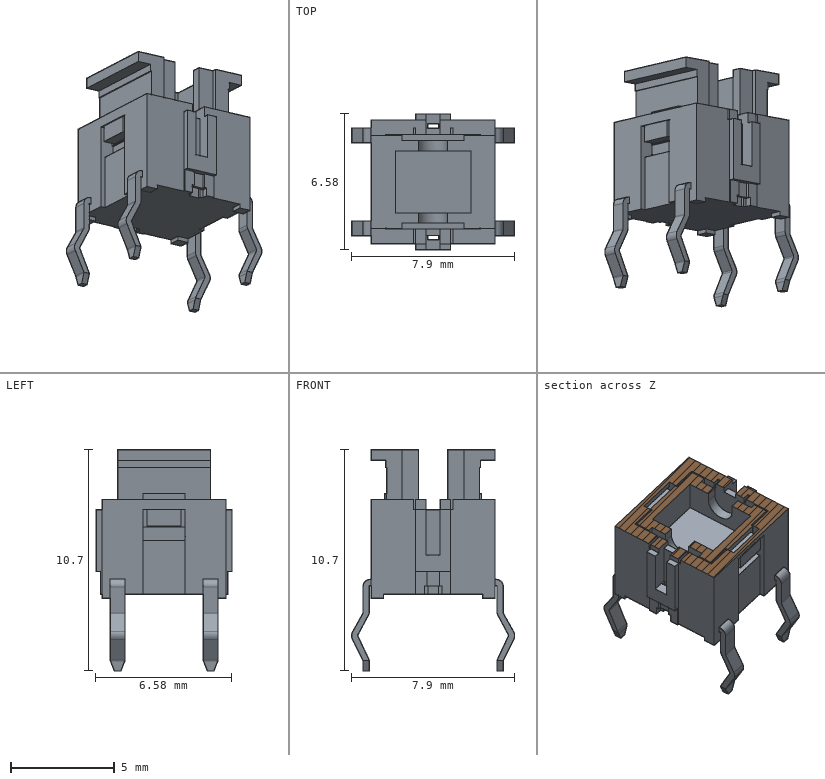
import cadquery as cq


HOUSING_WIDTH = 6.0
HOUSING_HALF = HOUSING_WIDTH / 2
HOUSING_BOTTOM = 0.2
HOUSING_TOP = 4.8
FOOT_SIZE = 0.6
CAVITY_LENGTH = 4.6
CAVITY_WIDTH = 4.56
CAVITY_FLOOR = 3.0

LEDGE_Z = 4.3
BRACKET_WIDTH = 1.7
BRACKET_BOTTOM = 1.3
BRACKET_REACH = 3.29
LOWER_BRACKET_REACH = 3.08
SLOT_WIDTH = 0.68
SLOT_FLOOR = 2.1
SLOT_INNER_Y = 2.6
EYE_LENGTH = 0.52
EYE_WIDTH = 0.2
GROOVE_WIDTH = 0.6
GROOVE_DEPTH = 0.14
NOTCH_WIDTH = 0.84
NOTCH_TOP = 0.6
NOTCH_INNER_Y = 2.75
GAP_WIDTH = 0.1
GAP_OUTER_Y_FRONT = HOUSING_HALF
GAP_OUTER_Y_BACK = SLOT_INNER_Y

WINDOW_WIDTH = 2.04
WINDOW_PLATE_TOP = 2.8
WINDOW_PLATE_X = 2.75
LATCH_SLOT_X = 2.7

PLUNGER_TOP = 7.2
PLUNGER_WIDTH = 4.5
SHANK_LENGTH = 4.5
COLLAR_LENGTH = 4.6
COLLAR_BOTTOM = 6.33
FLANGE_LENGTH = HOUSING_WIDTH
FLANGE_BOTTOM = 6.68
POCKET_LENGTH = 3.64
POCKET_WIDTH = 3.0
FORK_GAP = 1.4
FORK_RADIUS = FORK_GAP / 2
FORK_ARC_CENTRE_Z = 4.1
ARM_STEP_LENGTH = 3.0
ARM_OUTER_Y = 2.0

LATCH_ARM_X = 2.35
LATCH_ARM_BOTTOM = 3.46
LATCH_ARM_TOP = 5.07
HOOK_X = 2.95
HOOK_WIDTH = 1.64
HOOK_BOTTOM = 3.5

LEAD_Y = 2.25
LEAD_WIDTH = 0.72
LEAD_THICKNESS = 0.32
LEAD_OUTER_X = 3.4
LEAD_INNER_X = LEAD_OUTER_X - LEAD_THICKNESS
LEAD_TOP = 0.93
LEAD_ROOT_X = 2.8
LEAD_SHOULDER_RADIUS = 0.37
LEAD_KINK_TOP = -0.72
LEAD_APEX_Z = -1.79
LEAD_APEX_INNER_X = 3.65
LEAD_APEX_OUTER_X = 4.0
BEND_INNER_RADIUS = 0.08
BEND_OUTER_RADIUS = BEND_INNER_RADIUS + LEAD_THICKNESS
LEAD_KINK_BOTTOM = -3.0
LEAD_TIP = -3.51
LEAD_TIP_WIDTH = 0.32


def block(x_range, y_range, z_range):
    """Axis-aligned box between the given limits."""
    (x0, x1), (y0, y1), (z0, z1) = x_range, y_range, z_range
    return cq.Workplane("XY").box(x1 - x0, y1 - y0, z1 - z0, centered=False).translate((x0, y0, z0))


def centred(length, width, z0, z1):
    """Box centred on the Z axis."""
    return block((-length / 2, length / 2), (-width / 2, width / 2), (z0, z1))


def both_ends(shape, plane):
    """The shape together with its mirror image."""
    return shape.union(shape.mirror(plane))


def span(width):
    """Limits of a width centred on zero."""
    return (-width / 2, width / 2)


def make_housing():
    housing = centred(HOUSING_WIDTH, HOUSING_WIDTH, HOUSING_BOTTOM, HOUSING_TOP)
    foot_span = (HOUSING_HALF - FOOT_SIZE, HOUSING_HALF)
    foot = block(foot_span, foot_span, (0, HOUSING_BOTTOM))
    feet = both_ends(both_ends(foot, "YZ"), "XZ")
    cavity = centred(CAVITY_LENGTH, CAVITY_WIDTH, CAVITY_FLOOR, HOUSING_TOP)
    return housing.union(feet).cut(cavity)


def window_cuts():
    """Shallow recess, through window above it, and a slot behind the top of the +X wall."""
    side = span(WINDOW_WIDTH)
    recess = block((WINDOW_PLATE_X, HOUSING_HALF), side, (HOUSING_BOTTOM, LEDGE_Z))
    opening = block((SHANK_LENGTH / 2, HOUSING_HALF), side, (WINDOW_PLATE_TOP, LEDGE_Z))
    top_slot = block((SHANK_LENGTH / 2, LATCH_SLOT_X), side, (LEDGE_Z, HOUSING_TOP))
    return both_ends(recess.union(opening).union(top_slot), "YZ")


def bracket():
    """Clip plates standing out of the +Y wall."""
    inside = CAVITY_WIDTH / 2
    upper = block(span(BRACKET_WIDTH), (inside, BRACKET_REACH), (BRACKET_BOTTOM, LEDGE_Z))
    lower = block(span(BRACKET_WIDTH), (inside, LOWER_BRACKET_REACH), (HOUSING_BOTTOM, BRACKET_BOTTOM))
    return upper.union(lower)


def bracket_cuts():
    """Clip slot, drop-through eye and foot notch of the +Y bracket."""
    inside = CAVITY_WIDTH / 2
    saddle = block(span(SLOT_WIDTH), (inside, HOUSING_HALF), (LEDGE_Z, HOUSING_TOP))
    slot = block(span(SLOT_WIDTH), (SLOT_INNER_Y, BRACKET_REACH), (SLOT_FLOOR, HOUSING_TOP))
    eye = block(span(EYE_LENGTH), (SLOT_INNER_Y, SLOT_INNER_Y + EYE_WIDTH), (HOUSING_BOTTOM, SLOT_FLOOR))
    groove_span = (LOWER_BRACKET_REACH - GROOVE_DEPTH, LOWER_BRACKET_REACH)
    groove = block(span(GROOVE_WIDTH), groove_span, (NOTCH_TOP, BRACKET_BOTTOM))
    notch = block(span(NOTCH_WIDTH), (NOTCH_INNER_Y, LOWER_BRACKET_REACH), (HOUSING_BOTTOM, NOTCH_TOP))
    return saddle.union(slot).union(eye).union(groove).union(notch)


def gap_cuts():
    """Narrow slits beside the bracket posts, open to the outside only on the -Y wall."""
    inside = CAVITY_WIDTH / 2
    x_range = (BRACKET_WIDTH / 2, BRACKET_WIDTH / 2 + GAP_WIDTH)
    z_range = (LEDGE_Z, HOUSING_TOP)
    front = block(x_range, (-GAP_OUTER_Y_FRONT, -inside), z_range)
    back = block(x_range, (inside, GAP_OUTER_Y_BACK), z_range)
    return both_ends(front.union(back), "YZ")


def make_plunger():
    plunger = centred(SHANK_LENGTH, PLUNGER_WIDTH, CAVITY_FLOOR, PLUNGER_TOP)
    plunger = plunger.union(centred(COLLAR_LENGTH, PLUNGER_WIDTH, COLLAR_BOTTOM, PLUNGER_TOP))
    plunger = plunger.union(centred(FLANGE_LENGTH, PLUNGER_WIDTH, FLANGE_BOTTOM, PLUNGER_TOP))
    plunger = plunger.cut(centred(POCKET_LENGTH, POCKET_WIDTH, CAVITY_FLOOR, PLUNGER_TOP))

    step = block(span(ARM_STEP_LENGTH), (ARM_OUTER_Y, PLUNGER_WIDTH / 2), (CAVITY_FLOOR, PLUNGER_TOP))
    plunger = plunger.cut(both_ends(step, "XZ"))

    fork = centred(FORK_GAP, PLUNGER_WIDTH, FORK_ARC_CENTRE_Z, PLUNGER_TOP)
    fork_round = (
        cq.Workplane("XZ")
        .center(0, FORK_ARC_CENTRE_Z)
        .circle(FORK_RADIUS)
        .extrude(PLUNGER_WIDTH / 2, both=True)
    )
    return plunger.cut(fork).cut(fork_round)


def make_latches():
    inside = POCKET_LENGTH / 2
    arm = block((inside, LATCH_ARM_X), span(WINDOW_WIDTH), (LATCH_ARM_BOTTOM, LATCH_ARM_TOP))
    hook = block((inside, HOOK_X), span(HOOK_WIDTH), (HOOK_BOTTOM, LEDGE_Z))
    return both_ends(arm.union(hook), "YZ")


def make_leads():
    root_bottom = LEAD_TOP - LEAD_THICKNESS
    outline = [
        (LEAD_ROOT_X, LEAD_TOP),
        (LEAD_OUTER_X, LEAD_TOP),
        (LEAD_OUTER_X, LEAD_KINK_TOP),
        (LEAD_APEX_OUTER_X, LEAD_APEX_Z),
        (LEAD_OUTER_X, LEAD_KINK_BOTTOM),
        (LEAD_OUTER_X, LEAD_TIP),
        (LEAD_INNER_X, LEAD_TIP),
        (LEAD_INNER_X, LEAD_KINK_BOTTOM),
        (LEAD_APEX_INNER_X, LEAD_APEX_Z),
        (LEAD_INNER_X, LEAD_KINK_TOP),
        (LEAD_INNER_X, root_bottom),
        (LEAD_ROOT_X, root_bottom),
    ]
    strip = cq.Workplane("XZ").polyline(outline).close().extrude(LEAD_WIDTH / 2, both=True)
    bends = [
        (LEAD_OUTER_X, LEAD_TOP, LEAD_SHOULDER_RADIUS),
        (LEAD_OUTER_X, LEAD_KINK_TOP, BEND_INNER_RADIUS),
        (LEAD_INNER_X, LEAD_KINK_TOP, BEND_OUTER_RADIUS),
        (LEAD_APEX_OUTER_X, LEAD_APEX_Z, BEND_OUTER_RADIUS),
        (LEAD_APEX_INNER_X, LEAD_APEX_Z, BEND_INNER_RADIUS),
        (LEAD_OUTER_X, LEAD_KINK_BOTTOM, BEND_INNER_RADIUS),
        (LEAD_INNER_X, LEAD_KINK_BOTTOM, BEND_OUTER_RADIUS),
    ]
    for x, z, radius in bends:
        strip = strip.edges(cq.NearestToPointSelector((x, 0, z))).fillet(radius)

    silhouette = [
        (-LEAD_WIDTH / 2, LEAD_TOP),
        (LEAD_WIDTH / 2, LEAD_TOP),
        (LEAD_WIDTH / 2, LEAD_KINK_BOTTOM),
        (LEAD_TIP_WIDTH / 2, LEAD_TIP),
        (-LEAD_TIP_WIDTH / 2, LEAD_TIP),
        (-LEAD_WIDTH / 2, LEAD_KINK_BOTTOM),
    ]
    envelope = cq.Workplane("YZ").polyline(silhouette).close().extrude(LEAD_APEX_OUTER_X)
    lead = strip.intersect(envelope).translate((0, LEAD_Y, 0))
    return both_ends(both_ends(lead, "YZ"), "XZ")


housing = make_housing().cut(window_cuts())
housing = housing.union(both_ends(bracket(), "XZ"))
housing = housing.cut(both_ends(bracket_cuts(), "XZ")).cut(gap_cuts())

result = housing.union(make_plunger()).union(make_latches()).union(make_leads())